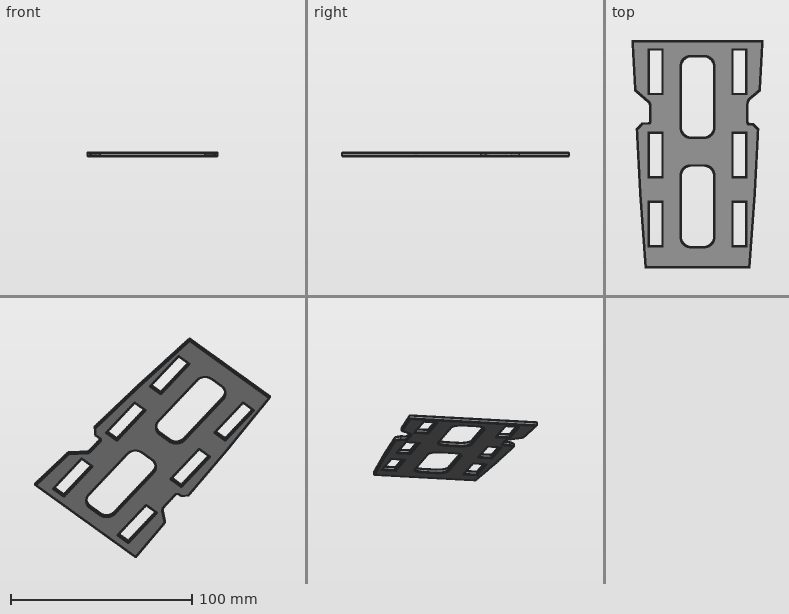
import cadquery as cq

length = 125.3
thickness = 2.4
edge_chamfer = 0.5
half_length = length / 2
half_width_back = 36.1
half_width_front = 28.8

bend_y = -21.9
half_width_bend = 31.8

notch_back_y = 35.2
notch_front_y = 13.9
notch_back_x = 34.6
notch_front_x = 33.7

left_wall_x = 26.3
left_wall_back_y = 28.0
left_floor_y = 17.3
left_floor_end_x = 30.5
left_back_radius = 3.0
left_floor_radius = 0.8

right_wall_x = 27.8
right_wall_back_y = 29.6
right_floor_y = 16.8
right_floor_end_x = 30.8
right_back_radius = 4.0
right_floor_radius = 1.0

slot_width = 7.0
slot_length = 24.0
slot_x = 23.0
slot_centers_y = (45.6, -0.4, -38.5)

window_width = 18.0
window_length = 44.6
window_radius = 5.5
window_centers_y = (31.7, -28.7)


def side_points(side, wall_x, wall_back_y, floor_y, floor_end_x):
    """Corners of one long side from back to front; side is -1 for left, 1 for right."""
    corners = [
        (half_width_back, half_length),
        (notch_back_x, notch_back_y),
        (wall_x, wall_back_y),
        (wall_x, floor_y),
        (floor_end_x, floor_y),
        (notch_front_x, notch_front_y),
        (half_width_bend, bend_y),
        (half_width_front, -half_length),
    ]
    return [(side * x, y) for x, y in corners]


def round_corner(body, x, y, radius):
    """Round the upright edge standing at (x, y)."""
    corner = cq.selectors.NearestToPointSelector((x, y, thickness / 2))
    return body.edges("|Z").edges(corner).fillet(radius)


def make_blank():
    """Tapered plate with a rounded notch in each long side."""
    left = side_points(-1, left_wall_x, left_wall_back_y, left_floor_y, left_floor_end_x)
    right = side_points(1, right_wall_x, right_wall_back_y, right_floor_y, right_floor_end_x)
    blank = cq.Workplane("XY").polyline(left + right[::-1]).close().extrude(thickness)
    blank = round_corner(blank, -left_wall_x, left_wall_back_y, left_back_radius)
    blank = round_corner(blank, -left_wall_x, left_floor_y, left_floor_radius)
    blank = round_corner(blank, right_wall_x, right_wall_back_y, right_back_radius)
    return round_corner(blank, right_wall_x, right_floor_y, right_floor_radius)


def make_slots():
    """Cutters for the strap slots."""
    centers = [(side * slot_x, y) for side in (-1, 1) for y in slot_centers_y]
    return cq.Workplane("XY").pushPoints(centers).rect(slot_width, slot_length).extrude(thickness)


def make_windows():
    """Cutters for the round-cornered central windows."""
    centers = [(0, y) for y in window_centers_y]
    windows = cq.Workplane("XY").pushPoints(centers).rect(window_width, window_length).extrude(thickness)
    return windows.edges("|Z").fillet(window_radius)


plate = make_blank().cut(make_slots()).cut(make_windows())

result = plate.faces("<Z or >Z").edges().chamfer(edge_chamfer)